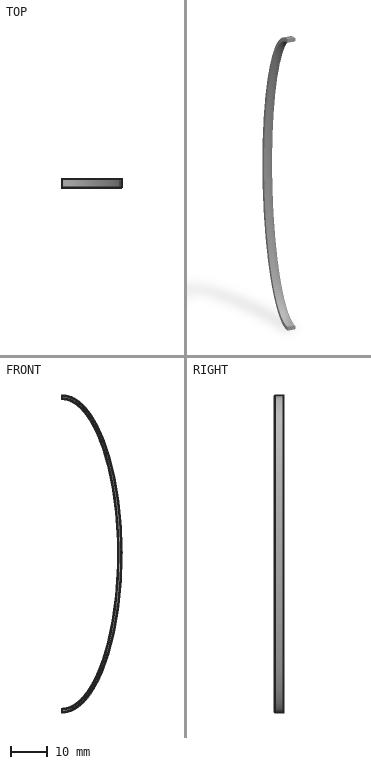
import cadquery as cq

height = 86.7
depth = 16.4
width = 2.5
thickness = 1.1
edge_bevel = 0.3


def half_ellipse_disc(inset):
    """Half of an elliptical disc, inset from the outer face of the hoop."""
    half_height = height / 2 - inset
    return (
        cq.Workplane("XZ", origin=(0, width / 2, 0))
        .moveTo(0, -half_height)
        .ellipseArc(depth - inset, half_height, -90, 90, startAtCurrent=True)
        .close()
        .extrude(width)
    )


hoop = half_ellipse_disc(0).cut(half_ellipse_disc(thickness))

result = hoop.faces("<Y").edges("%ELLIPSE").chamfer(edge_bevel)